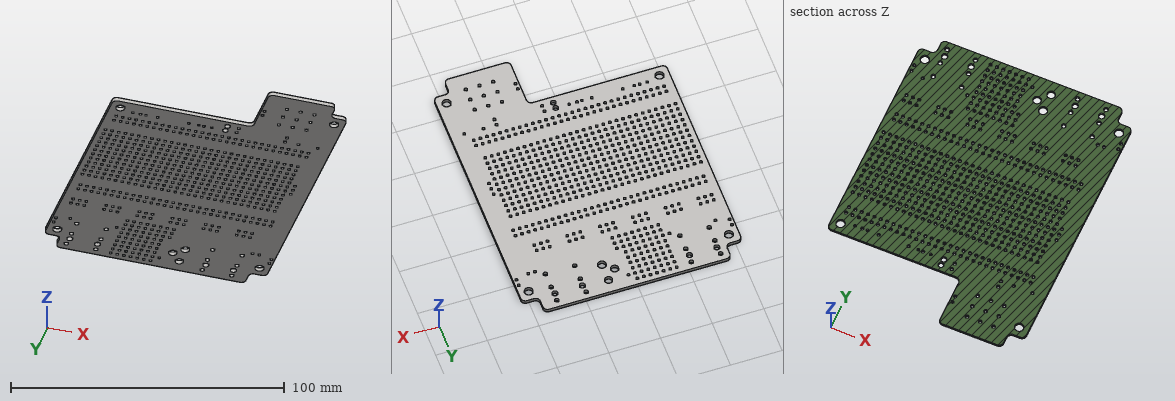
import cadquery as cq


PITCH = 2.54
BOARD_X = 85.09
BOARD_Y = 110.49
THICKNESS = 1.6
NOTCH = 2.5 * PITCH
TAB_X = 21 * PITCH
TAB_LENGTH = 8 * PITCH
CORNER_RADIUS = 1.8

PIN_DIA = 1.02
CAPACITOR_DIA = 0.9
LEAD_DIA = 1.12
SWITCH_DIA = 1.2
CONNECTOR_PIN_DIA = 1.6
CONNECTOR_PEG_DIA = 2.2
POST_DIA = 2.03
JACK_DIA = 3.0
JACK_WIDE_DIA = 3.2
MOUNT_DIA = 3.3

FIELD_COLUMNS = 30
FIELD_ROWS = 12
FIELD_X = PITCH
FIELD_Y = 15 * PITCH
RAIL_X = 1.5 * PITCH
RAIL_ROWS = 2
LOWER_RAIL_Y = 11.5 * PITCH
UPPER_RAIL_Y = 28.5 * PITCH
HEADER_COUNT = 6
HEADER_SPACING = 5 * PITCH
HEADER_COLUMNS = 3
HEADER_ROWS = 2
HEADER_Y = 32 * PITCH

MATRIX_COLUMNS = 7
MATRIX_ROWS = 9
MATRIX_X = 10.5 * PITCH
MATRIX_Y = 34.5 * PITCH
MATRIX_EXTRA_ROWS = (0, 1, 2, 7)
LINK_Y = MATRIX_Y + 2 * PITCH
LINK_XS = (2.5 * PITCH, 9.5 * PITCH, 30 * PITCH, 31 * PITCH)

EDGE_PIN_INSET = PITCH / 2
EDGE_PIN_Y = 37 * PITCH
SIDE_PIN_X = 31 * PITCH
SIDE_PIN_Y = 19.5 * PITCH
TAB_PIN_X = 21.5 * PITCH
TAB_PIN_Y = 4 * PITCH

COMPONENT_Y = 10 * PITCH
CAPACITOR_STARTS = (9.03, 34.27)
CAPACITOR_SPAN = 5.0
COMPONENT_XS = (11.94, 18.5, 30.45, 36.2, 72.39, 79.8)
LEAD_XS = (48.77, 67.29)
POST_X = 17.5 * PITCH

SWITCH_CENTER = (67.31, 11.43)
SWITCH_PITCH_X = 5.28
SWITCH_PITCH_Y = 4.83

CONNECTOR_XS = (15.2, 67.27)
CONNECTOR_PIN_OFFSET = 5.66
CONNECTOR_PEG_OFFSET = 5.3
CONNECTOR_Y = 101.25
CONNECTOR_PIN_PITCH = 6.28
CONNECTOR_PEG_Y = CONNECTOR_Y + CONNECTOR_PIN_PITCH / 2

JACK_X = 20.5 * PITCH
JACK_UPPER_Y = 105.2
JACK_LOWER_Y = 97.87
JACK_SIDE = (48.28, 101.07)

MOUNT_INSET = 1.5 * PITCH
MOUNT_UPPER_Y = 39.5 * PITCH
MOUNT_LOWER_LEFT_Y = 9.5 * PITCH
MOUNT_LOWER_RIGHT_Y = 4 * PITCH


def grid(x_start, y_start, columns, rows):
    """Points of a rectangular pin grid, starting from its lower left pin."""
    return [(x_start + c * PITCH, y_start + r * PITCH) for c in range(columns) for r in range(rows)]


def mirrored_pair(center, offset):
    return (center - offset, center + offset)


def board_blank():
    """The plate with three notched corners, the tab and rounded corners."""
    notch_x = BOARD_X - NOTCH
    notch_y = BOARD_Y - NOTCH
    corners = [
        (TAB_X, 0),
        (notch_x, 0),
        (notch_x, NOTCH),
        (BOARD_X, NOTCH),
        (BOARD_X, notch_y),
        (notch_x, notch_y),
        (notch_x, BOARD_Y),
        (NOTCH, BOARD_Y),
        (NOTCH, notch_y),
        (0, notch_y),
        (0, TAB_LENGTH),
        (TAB_X, TAB_LENGTH),
    ]
    plate = cq.Workplane("XY").polyline(corners).close().extrude(THICKNESS)
    return plate.edges("|Z").fillet(CORNER_RADIUS)


def breadboard_pins():
    points = grid(FIELD_X, FIELD_Y, FIELD_COLUMNS, FIELD_ROWS)
    for rail_y in (LOWER_RAIL_Y, UPPER_RAIL_Y):
        points += grid(RAIL_X, rail_y, FIELD_COLUMNS, RAIL_ROWS)
    for n in range(HEADER_COUNT):
        points += grid(RAIL_X + n * HEADER_SPACING, HEADER_Y, HEADER_COLUMNS, HEADER_ROWS)
    return points


def matrix_pins():
    points = grid(MATRIX_X, MATRIX_Y, MATRIX_COLUMNS, MATRIX_ROWS)
    extra_x = MATRIX_X + MATRIX_COLUMNS * PITCH
    points += [(extra_x, MATRIX_Y + row * PITCH) for row in MATRIX_EXTRA_ROWS]
    points += [(x, LINK_Y) for x in LINK_XS]
    return points


def short_pin_columns():
    points = grid(SIDE_PIN_X, SIDE_PIN_Y, 1, 3)
    points += grid(TAB_PIN_X, TAB_PIN_Y, 1, 2)
    for x in (EDGE_PIN_INSET, BOARD_X - EDGE_PIN_INSET):
        points += grid(x, EDGE_PIN_Y, 1, 2)
    return points


def component_pins():
    return [(x, COMPONENT_Y) for x in COMPONENT_XS]


def capacitor_pins():
    return [(x + shift, COMPONENT_Y) for x in CAPACITOR_STARTS for shift in (0, CAPACITOR_SPAN)]


def lead_pins():
    return [point for x in LEAD_XS for point in grid(x, COMPONENT_Y - PITCH, 1, 2)]


def post_holes():
    return grid(POST_X, COMPONENT_Y - PITCH, 1, 2)


def switch_pins():
    center_x, center_y = SWITCH_CENTER
    steps = (-1, 0, 1)
    return [(center_x + i * SWITCH_PITCH_X, center_y + j * SWITCH_PITCH_Y) for i in steps for j in steps]


def connector_pins():
    points = []
    for center in CONNECTOR_XS:
        for x in mirrored_pair(center, CONNECTOR_PIN_OFFSET):
            points += [(x, CONNECTOR_Y + step * CONNECTOR_PIN_PITCH) for step in (-1, 0, 1)]
    return points


def connector_pegs():
    return [
        (x, CONNECTOR_PEG_Y)
        for center in CONNECTOR_XS
        for x in mirrored_pair(center, CONNECTOR_PEG_OFFSET)
    ]


def mounting_holes():
    right_x = BOARD_X - MOUNT_INSET
    return [
        (MOUNT_INSET, MOUNT_LOWER_LEFT_Y),
        (MOUNT_INSET, MOUNT_UPPER_Y),
        (right_x, MOUNT_UPPER_Y),
        (right_x, MOUNT_LOWER_RIGHT_Y),
    ]


def drill(board, diameter, points):
    """Cut through holes of one diameter at the given points."""
    drills = cq.Workplane("XY").pushPoints(points).circle(diameter / 2).extrude(THICKNESS)
    return board.cut(drills)


HOLES = (
    (PIN_DIA, breadboard_pins() + matrix_pins() + short_pin_columns() + component_pins()),
    (CAPACITOR_DIA, capacitor_pins()),
    (LEAD_DIA, lead_pins()),
    (POST_DIA, post_holes()),
    (SWITCH_DIA, switch_pins()),
    (CONNECTOR_PIN_DIA, connector_pins()),
    (CONNECTOR_PEG_DIA, connector_pegs()),
    (JACK_DIA, [(JACK_X, JACK_UPPER_Y), JACK_SIDE]),
    (JACK_WIDE_DIA, [(JACK_X, JACK_LOWER_Y)]),
    (MOUNT_DIA, mounting_holes()),
)

result = board_blank()
for hole_diameter, hole_points in HOLES:
    result = drill(result, hole_diameter, hole_points)